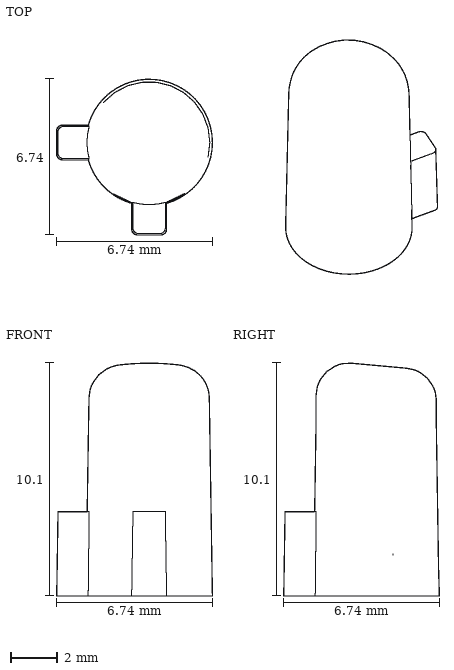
import cadquery as cq
import math

stock_height = 12.08
base_radius = 2.74
draft_angle = 0.9
crown_fillet = 1.42

crown_tilt = 5.2
crown_axis_height = 9.97

tab_reach = 4.0
tab_width = 1.51
tab_height = 3.65
tab_corner = 0.25


def make_body():
    """Cone frustum cut by a tilted plane, with a large rounded crown."""
    body = cq.Workplane("XY").circle(base_radius).extrude(stock_height, taper=draft_angle)
    tilt = math.radians(crown_tilt)
    crown_plane = cq.Plane(
        origin=(0, 0, crown_axis_height),
        xDir=(1, 0, 0),
        normal=(0, math.sin(tilt), math.cos(tilt)),
    )
    waste = cq.Workplane(crown_plane).circle(2 * base_radius).extrude(stock_height)
    return body.cut(waste).faces(">Z").edges().fillet(crown_fillet)


def make_tab():
    """Drafted tab running from the body axis out toward -X."""
    return (
        cq.Workplane("XY")
        .center(-tab_reach / 2, 0)
        .rect(tab_reach, tab_width)
        .extrude(tab_height, taper=draft_angle)
        .edges("not #Z")
        .fillet(tab_corner)
    )


result = make_body()
for turn in (0, 90):
    result = result.union(make_tab().rotate((0, 0, 0), (0, 0, 1), turn))